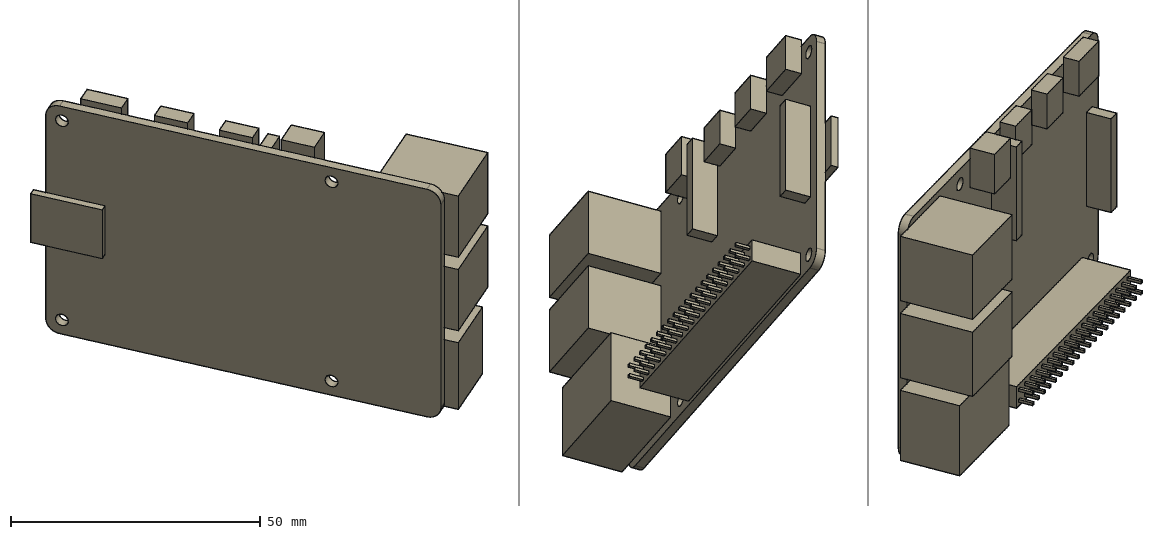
import cadquery as cq

board_length = 85.1
board_height = 56.0
board_thickness = 2.0
corner_radius = 3.0
mid_height = board_height / 2

hole_diameter = 2.7
hole_spacing_x = 58.05
hole_spacing_z = 49.0
hole_inset = (board_height - hole_spacing_z) / 2

jack_end_x = board_length + 3.0
usb_depth = 17.6
usb_width = 15.1
usb_rise = 16.2
usb_centers_z = (47.0, 28.9)
ethernet_depth = 22.0
ethernet_width = 16.4
ethernet_rise = 13.3
ethernet_center_z = 10.25

port_overhang = 1.45
port_depth = 8.2
port_rise = 3.5
port_inner_z = board_height + port_overhang - port_depth
power_width = 8.8
power_center_x = 11.2
hdmi_width = 7.2
hdmi_centers_x = (26.2, 40.2)

audio_overhang = 2.5
audio_width = 7.2
audio_center_x = 53.5
audio_rise = 5.5

socket_width = 2.5
socket_length = 21.95
socket_rise = 5.5
display_left_x = 2.7
display_center_z = mid_height
camera_left_x = 44.9
camera_top_z = 55.1

pin_columns = 20
pin_rows = 2
pin_pitch = 2.5
pin_size = 0.6
pin_rise = 14.0
header_length = pin_columns * pin_pitch
header_height = pin_rows * pin_pitch
header_rise = 10.9
header_center_x = hole_inset + hole_spacing_x / 2
header_center_z = hole_inset

card_overhang = 2.6
card_length = 15.4
card_width = 12.0
card_thickness = 1.5


def raised_block(center_x, center_z, size_x, size_z, rise):
    """Block standing on the component face of the board."""
    block = cq.Workplane("XY").box(size_x, rise, size_z)
    return block.translate((center_x, board_thickness + rise / 2, center_z))


def make_plate():
    """Rounded board with its four mounting holes."""
    plate = cq.Workplane("XY").box(board_length, board_thickness, board_height, centered=False)
    plate = plate.edges("|Y").fillet(corner_radius)
    for x in (hole_inset, hole_inset + hole_spacing_x):
        for z in (hole_inset, hole_inset + hole_spacing_z):
            hole = cq.Workplane("XZ", origin=(x, 0, z)).circle(hole_diameter / 2).extrude(-board_thickness)
            plate = plate.cut(hole)
    return plate


def upper_port(center_x, width, rise, overhang):
    """Port that reaches from the common inner line past the upper edge."""
    depth = board_height + overhang - port_inner_z
    return raised_block(center_x, port_inner_z + depth / 2, width, depth, rise)


def cable_socket(left_x, center_z):
    return raised_block(left_x + socket_width / 2, center_z, socket_width, socket_length, socket_rise)


def make_header():
    """Header strip with its grid of square pins."""
    header = raised_block(header_center_x, header_center_z, header_length, header_height, header_rise)
    pins = (
        cq.Workplane("XZ", origin=(header_center_x, board_thickness, header_center_z))
        .rarray(pin_pitch, pin_pitch, pin_columns, pin_rows)
        .rect(pin_size, pin_size)
        .extrude(-pin_rise)
    )
    return header.union(pins)


def make_card():
    card = cq.Workplane("XY").box(card_length, card_thickness, card_width)
    return card.translate((card_length / 2 - card_overhang, -card_thickness / 2, mid_height))


def make_board():
    """Board as one body with its header, small ports, sockets and memory card."""
    board = make_plate()
    board = board.union(make_card())
    board = board.union(make_header())
    board = board.union(upper_port(power_center_x, power_width, port_rise, port_overhang))
    for center_x in hdmi_centers_x:
        board = board.union(upper_port(center_x, hdmi_width, port_rise, port_overhang))
    board = board.union(upper_port(audio_center_x, audio_width, audio_rise, audio_overhang))
    board = board.union(cable_socket(display_left_x, display_center_z))
    board = board.union(cable_socket(camera_left_x, camera_top_z - socket_length / 2))
    return board


def make_side_jack(center_z, depth, width, rise):
    """Separate jack housing that rests on the board at its right edge."""
    return raised_block(jack_end_x - depth / 2, center_z, depth, width, rise)


board = make_board()
ethernet_jack = make_side_jack(ethernet_center_z, ethernet_depth, ethernet_width, ethernet_rise)
usb_jacks = [make_side_jack(center_z, usb_depth, usb_width, usb_rise) for center_z in usb_centers_z]

result = cq.Compound.makeCompound(
    [
        *board.solids().vals(),
        ethernet_jack.val(),
        *[usb_jack.val() for usb_jack in usb_jacks],
    ]
)